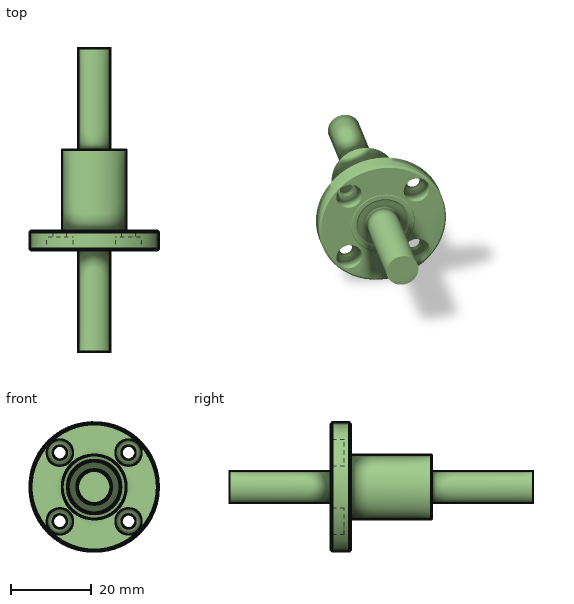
import cadquery as cq

SHAFT_DIAMETER = 8.0
SHAFT_LENGTH = 75.0

SLEEVE_DIAMETER = 16.0
SLEEVE_LENGTH = 25.0
SLEEVE_CHAMFER = 0.2

FLANGE_DIAMETER = 32.0
FLANGE_THICKNESS = 5.0
FLANGE_CHAMFER = 0.5

HOLE_COUNT = 4
HOLE_DIAMETER = 3.4
COUNTERBORE_DIAMETER = 6.5
COUNTERBORE_DEPTH = 3.3
BOLT_CIRCLE_DIAMETER = 24.0
FIRST_HOLE_ANGLE = 45.0

SEAL_DIAMETER = 12.6
SEAL_DEPTH = 0.5
SEAL_MOUTH_CHAMFER = 0.4

LIP_WIDTH = 0.4
LIP_TIP_WIDTH = 0.1
LIP_HEIGHT = 0.4

FULL_TURN = 360.0

FRONT_Y = -SLEEVE_LENGTH / 2
POCKET_FLOOR_Y = FRONT_Y + SEAL_DEPTH


def cylinder(diameter, length, start_y):
    """Cylinder about the Y axis, growing toward +Y from start_y."""
    plane = cq.Workplane("XZ", origin=(0, start_y, 0))
    return plane.circle(diameter / 2).extrude(-length)


def revolve_profile(points):
    """Solid of revolution about the Y axis from (radius, y) points."""
    return cq.Workplane("XY").polyline(points).close().revolve(FULL_TURN, (0, 0, 0), (0, 1, 0))


def make_flange():
    flange = cylinder(FLANGE_DIAMETER, FLANGE_THICKNESS, FRONT_Y)
    return flange.edges().chamfer(FLANGE_CHAMFER)


def make_sleeve():
    sleeve = cylinder(SLEEVE_DIAMETER, SLEEVE_LENGTH, FRONT_Y)
    return sleeve.faces(">Y").edges().chamfer(SLEEVE_CHAMFER)


def make_joint_groove():
    """V groove where the chamfered front rim of the sleeve meets the flange bore."""
    outer = SLEEVE_DIAMETER / 2
    inner = outer - SLEEVE_CHAMFER
    return revolve_profile([
        (inner, FRONT_Y),
        (outer, FRONT_Y),
        (outer, FRONT_Y + SLEEVE_CHAMFER),
    ])


def make_mounting_holes():
    """Through holes with counterbores sunk from the -Y face."""
    plane = cq.Workplane("XZ", origin=(0, FRONT_Y, 0))
    centres = plane.polarArray(BOLT_CIRCLE_DIAMETER / 2, FIRST_HOLE_ANGLE, FULL_TURN, HOLE_COUNT)
    holes = centres.circle(HOLE_DIAMETER / 2).extrude(-FLANGE_THICKNESS)
    counterbores = centres.circle(COUNTERBORE_DIAMETER / 2).extrude(-COUNTERBORE_DEPTH)
    return holes.union(counterbores)


def make_seal_pocket():
    """Round pocket with a chamfered mouth."""
    radius = SEAL_DIAMETER / 2
    return revolve_profile([
        (0, POCKET_FLOOR_Y),
        (radius, POCKET_FLOOR_Y),
        (radius, FRONT_Y + SEAL_MOUTH_CHAMFER),
        (radius + SEAL_MOUTH_CHAMFER, FRONT_Y),
        (0, FRONT_Y),
    ])


def make_seal_lip():
    radius = SHAFT_DIAMETER / 2
    return revolve_profile([
        (0, POCKET_FLOOR_Y),
        (radius + LIP_WIDTH, POCKET_FLOOR_Y),
        (radius + LIP_TIP_WIDTH, POCKET_FLOOR_Y - LIP_HEIGHT),
        (0, POCKET_FLOOR_Y - LIP_HEIGHT),
    ])


housing = make_flange().union(make_sleeve())
housing = housing.cut(make_mounting_holes())
housing = housing.cut(make_joint_groove())
housing = housing.cut(make_seal_pocket())

shaft = cylinder(SHAFT_DIAMETER, SHAFT_LENGTH, -SHAFT_LENGTH / 2)

result = housing.union(make_seal_lip()).union(shaft)